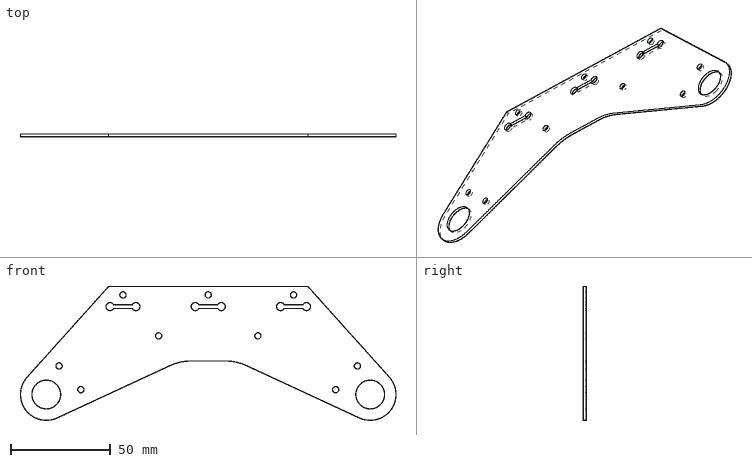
import cadquery as cq
import math

length = 188.8
thickness = 1.53
lobe_radius = 13.0
lobe_x = length / 2 - lobe_radius
top_z = 54.4
top_half_width = 50.0
arch_z = 16.8
arch_half_width = 14.2
arch_corner_radius = 25.0

large_hole_diameter = 14.3
small_hole_diameter = 3.0
top_hole_spacing = 42.9
top_hole_z = 50.0
paired_hole_positions = [(25.0, 29.5), (75.0, 14.3), (64.0, 2.5)]

slot_z = 44.2
slot_end_diameter = 4.0
slot_end_spacing = 13.0
slot_neck_height = 1.7


def lobe_tangent_point(x, z, side):
    """Tangent point on the right lobe of a line from (x, z); side is +1 above, -1 below."""
    dx = x - lobe_x
    dz = z
    angle = math.atan2(dz, dx) - side * math.acos(lobe_radius / math.hypot(dx, dz))
    return lobe_x + lobe_radius * math.cos(angle), lobe_radius * math.sin(angle)


def front_plane():
    return cq.Workplane("XZ")


def mirrored(point):
    return -point[0], point[1]


def through_cylinders(points, diameter):
    return front_plane().pushPoints(points).circle(diameter / 2).extrude(thickness / 2, both=True)


def make_plate():
    upper = lobe_tangent_point(top_half_width, top_z, 1)
    lower = lobe_tangent_point(arch_half_width, arch_z, -1)
    outer = (length / 2, 0)
    plate = (
        front_plane()
        .moveTo(-top_half_width, top_z)
        .lineTo(top_half_width, top_z)
        .lineTo(*upper)
        .threePointArc(outer, lower)
        .lineTo(arch_half_width, arch_z)
        .lineTo(-arch_half_width, arch_z)
        .lineTo(*mirrored(lower))
        .threePointArc(mirrored(outer), mirrored(upper))
        .close()
        .extrude(thickness / 2, both=True)
    )
    for x in (-arch_half_width, arch_half_width):
        corner = cq.selectors.NearestToPointSelector((x, 0, arch_z))
        plate = plate.edges("|Y").edges(corner).fillet(arch_corner_radius)
    return plate


def make_slot(x):
    half_spacing = slot_end_spacing / 2
    ends = through_cylinders([(x - half_spacing, slot_z), (x + half_spacing, slot_z)], slot_end_diameter)
    neck = cq.Workplane("XY").box(slot_end_spacing, thickness, slot_neck_height)
    return ends.union(neck.translate((x, 0, slot_z)))


column_positions = [-top_hole_spacing, 0, top_hole_spacing]
small_holes = [(x, top_hole_z) for x in column_positions]
for position in paired_hole_positions:
    small_holes += [position, mirrored(position)]

result = make_plate()
result = result.cut(through_cylinders([(-lobe_x, 0), (lobe_x, 0)], large_hole_diameter))
result = result.cut(through_cylinders(small_holes, small_hole_diameter))
for column_x in column_positions:
    result = result.cut(make_slot(column_x))